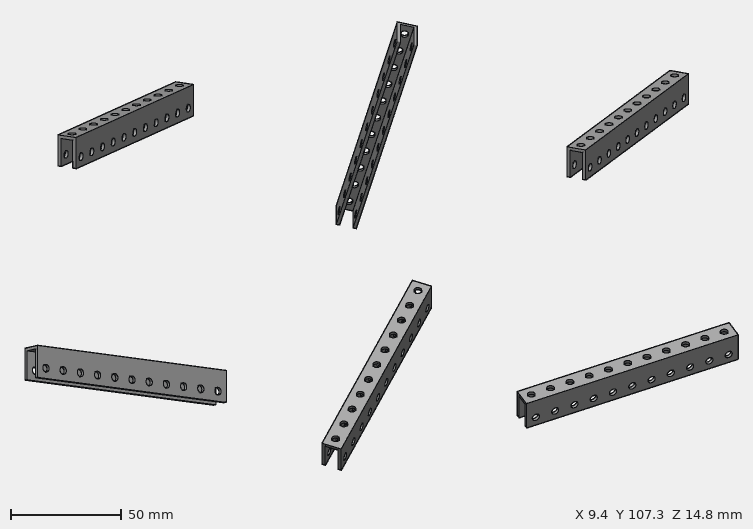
import cadquery as cq

width = 9.4
length = 107.3
height = 14.8
side_wall = 1.6
top_wall = 1.5
end_radius = 0.5

hole_diameter = 3.5
hole_count = 11
hole_pitch = 9.8
side_hole_height = 4.7


def channel():
    """U-shaped bar resting on its two open edges at Z = 0, with the leg ends rounded below."""
    outer = cq.Workplane("XY").box(width, length, height, centered=(True, True, False))
    inner = cq.Workplane("XY").box(
        width - 2 * side_wall, length, height - top_wall, centered=(True, True, False)
    )
    bar = outer.cut(inner)
    return bar.faces("<Z").edges("|X").fillet(end_radius)


def top_holes():
    """Row of cutters along the length, passing through the top wall only."""
    return (
        cq.Workplane("XY", origin=(0, 0, height - 2 * top_wall))
        .rarray(1.1, hole_pitch, 1, hole_count)
        .circle(hole_diameter / 2)
        .extrude(3 * top_wall)
    )


def side_holes():
    """Row of cutters along the length, passing through both side walls."""
    return (
        cq.Workplane("YZ", origin=(-width, 0, side_hole_height))
        .rarray(hole_pitch, 1.1, hole_count, 1)
        .circle(hole_diameter / 2)
        .extrude(2 * width)
    )


result = channel().cut(top_holes()).cut(side_holes())